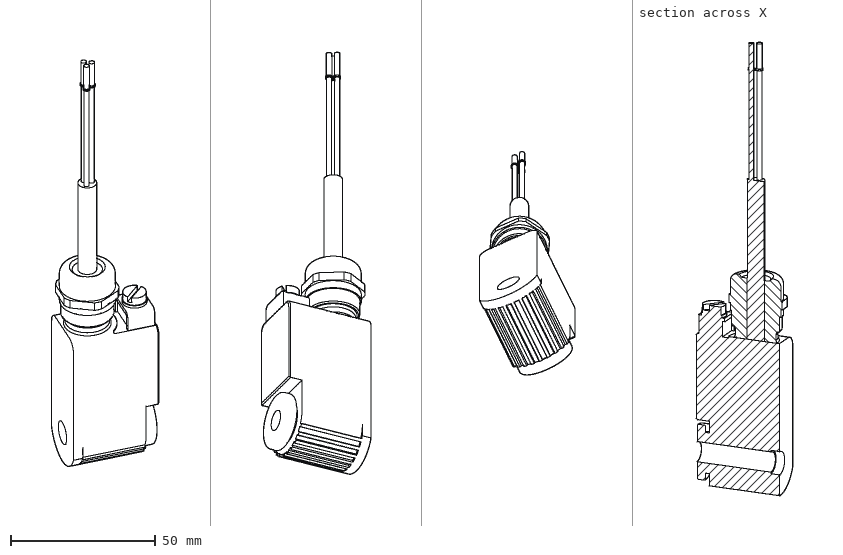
import cadquery as cq
import math


WIDTH = 22.0
DEPTH = 31.7
PAD_TOP = 55.5
SHELF_DROP = 0.5
SHELF_FRONT = 15.9
TOP_FILLET = 4.0
BACK_CHAMFER = 0.5
NOTCH_CEILING = 23.5
NOTCH_DEPTH = 4.9
LUG_RADIUS = 12.0

BORE_DIAMETER = 7.2
COUNTERBORE_DIAMETER = 8.3
COUNTERBORE_DEPTH = 3.3

RIB_RIM = 3.5
RIB_ROOT_RADIUS = WIDTH / 2
RIB_PITCH = 15.0
RIB_ANGLE = 6.0
RIBS_EACH_SIDE = 4

DISC_DIAMETER = 20.3
DISC_GAP = 1.3
DISC_THICKNESS = 3.3
DISC_FILLET = 0.7
DISC_NECK_DIAMETER = 15.0

BLOCK_X = 2.0
BLOCK_Y = 25.8
BLOCK_WIDTH = 13.7
BLOCK_DEPTH = 10.0
BLOCK_TOP = 62.0
BLOCK_FILLET = 2.0
RECESS_INSET = 1.3
RECESS_DEPTH = 0.8
WASHER_DIAMETER = 8.8
WASHER_HEIGHT = 1.0
SCREW_DIAMETER = 8.2
SCREW_HEIGHT = 3.0
SLOT_WIDTH = 1.5
SLOT_DEPTH = 2.0
SLOT_ANGLE = -45.0

GLAND_Y = 9.2
GLAND_TOP = 78.8
PAD_DIAMETER = 20.6
CAP_DIAMETER = 19.5
CAP_BOTTOM = 65.0
CAP_FILLET = 2.8
SKIRT_DIAMETER = 18.5
SKIRT_BOTTOM = 59.5
SKIRT_CHAMFER = 0.5
NECK_DIAMETER = 15.5
NECK_FLARE = 0.5
NECK_GROOVE_TOP = 58.5
NECK_GROOVE_BOTTOM = 56.5
FUNNEL_TOP_DIAMETER = 12.5
FUNNEL_DIAMETER = 10.5
FUNNEL_DEPTH = 1.0
HEX_BOTTOM = 67.8
HEX_HEIGHT = 3.1
HEX_FLATS = 20.3
HEX_ROUND_DIAMETER = 22.0

CABLE_DIAMETER = 6.5
SHEATH_TOP = 113.8
WIRE_TOP = 163.5
WIRE_DIAMETER = 1.8
WIRE_COUNT = 3
WIRE_CIRCLE_RADIUS = 1.6
COLLAR_DIAMETER = 2.5
COLLAR_BOTTOM = 153.6
COLLAR_HEIGHT = 0.7
FERRULE_DIAMETER = 2.0

SHELF_TOP = PAD_TOP - SHELF_DROP
NOTCH_Y = DEPTH - NOTCH_DEPTH


def cylinder_z(x, y, bottom, diameter, height):
    """Upright cylinder standing on the level `bottom`."""
    return cq.Workplane("XY", origin=(x, y, bottom)).circle(diameter / 2).extrude(height)


def cylinder_y(start, diameter, length):
    """Cylinder around the cross bore axis, from `start` towards +Y."""
    plane = cq.Plane(origin=(0, start, LUG_RADIUS), xDir=(1, 0, 0), normal=(0, 1, 0))
    return cq.Workplane(plane).circle(diameter / 2).extrude(length)


def box_between(x, y, z):
    """Box from three (low, high) pairs."""
    size = [high - low for low, high in (x, y, z)]
    return cq.Workplane("XY").box(*size, centered=False).translate((x[0], y[0], z[0]))


def arch_slab(radius, start, end):
    """Slab of the housing outline, whose lower end is round with the given radius."""
    half = WIDTH / 2
    side_end = LUG_RADIUS - math.sqrt(radius**2 - half**2)
    lowest = LUG_RADIUS - radius
    return (
        cq.Workplane("XZ", origin=(0, start, 0))
        .moveTo(-half, PAD_TOP)
        .lineTo(-half, side_end)
        .threePointArc((0, lowest), (half, side_end))
        .lineTo(half, PAD_TOP)
        .close()
        .extrude(start - end)
    )


def rib(angle):
    """One radial rib, `angle` degrees away from straight down."""
    reach = 2 * LUG_RADIUS
    half_width = reach * math.tan(math.radians(RIB_ANGLE / 2))
    wedge = (
        cq.Workplane("XZ", origin=(0, RIB_RIM, LUG_RADIUS))
        .polyline([(0, 0), (-half_width, -reach), (half_width, -reach)])
        .close()
        .extrude(RIB_RIM - NOTCH_Y)
        .rotate((0, 0, LUG_RADIUS), (0, 1, LUG_RADIUS), angle)
    )
    return wedge.intersect(arch_slab(LUG_RADIUS, RIB_RIM, NOTCH_Y))


def make_shell():
    """Housing block: rounded top, notch at the back and ribs around the lower end."""
    upper = box_between((-WIDTH / 2, WIDTH / 2), (0, DEPTH - BACK_CHAMFER), (NOTCH_CEILING, PAD_TOP))
    upper = upper.edges("|Y and >Z").fillet(TOP_FILLET)

    beyond_pad = box_between((-WIDTH, WIDTH), (SHELF_FRONT, 2 * DEPTH), (SHELF_TOP, 2 * PAD_TOP))
    pad = cylinder_z(0, GLAND_Y, SHELF_TOP, PAD_DIAMETER, SHELF_DROP)
    upper = upper.cut(beyond_pad.cut(pad))

    back_face = upper.faces(">Y")
    upper = back_face.workplane().add(back_face.wires()).toPending().extrude(BACK_CHAMFER, taper=45)

    below_notch = box_between((-WIDTH, WIDTH), (0, DEPTH), (-PAD_TOP, NOTCH_CEILING))
    lower = arch_slab(LUG_RADIUS, 0, RIB_RIM).union(arch_slab(RIB_ROOT_RADIUS, RIB_RIM, NOTCH_Y))
    for step in range(-RIBS_EACH_SIDE, RIBS_EACH_SIDE + 1):
        lower = lower.union(rib(step * RIB_PITCH))
    return upper.union(lower.intersect(below_notch))


def make_disc():
    """Flange disc on a short neck, standing on the notch wall."""
    neck = cylinder_y(NOTCH_Y, DISC_NECK_DIAMETER, DISC_GAP)
    disc = cylinder_y(NOTCH_Y + DISC_GAP, DISC_DIAMETER, DISC_THICKNESS)
    return disc.edges().fillet(DISC_FILLET).union(neck)


def make_terminal():
    """Rounded block carrying a washer and a slotted screw head."""
    block = box_between(
        (BLOCK_X - BLOCK_WIDTH / 2, BLOCK_X + BLOCK_WIDTH / 2),
        (BLOCK_Y - BLOCK_DEPTH / 2, BLOCK_Y + BLOCK_DEPTH / 2),
        (SHELF_TOP, BLOCK_TOP),
    )
    block = block.edges("|Y and >Z").fillet(BLOCK_FILLET)

    block_front = BLOCK_Y - BLOCK_DEPTH / 2
    recess = box_between(
        (BLOCK_X - BLOCK_WIDTH / 2 + RECESS_INSET, BLOCK_X + BLOCK_WIDTH / 2 - RECESS_INSET),
        (block_front, block_front + RECESS_DEPTH),
        (SHELF_TOP, BLOCK_TOP - RECESS_INSET),
    )
    block = block.cut(recess.edges("|Y and >Z").fillet(BLOCK_FILLET - RECESS_INSET))

    washer = cylinder_z(BLOCK_X, BLOCK_Y, BLOCK_TOP, WASHER_DIAMETER, WASHER_HEIGHT)
    head_bottom = BLOCK_TOP + WASHER_HEIGHT
    head = cylinder_z(BLOCK_X, BLOCK_Y, head_bottom, SCREW_DIAMETER, SCREW_HEIGHT)
    slot = (
        cq.Workplane("XY", origin=(BLOCK_X, BLOCK_Y, head_bottom + SCREW_HEIGHT))
        .transformed(rotate=(0, 0, SLOT_ANGLE))
        .rect(2 * SCREW_DIAMETER, SLOT_WIDTH)
        .extrude(-SLOT_DEPTH)
    )
    return block.union(washer).union(head.cut(slot))


def make_housing():
    """Housing with its terminal, flange disc and stepped cross bore."""
    housing = make_shell().union(make_terminal()).union(make_disc())
    bore = cylinder_y(0, BORE_DIAMETER, DEPTH)
    counterbore = cylinder_y(0, COUNTERBORE_DIAMETER, COUNTERBORE_DEPTH)
    return housing.cut(bore).cut(counterbore)


def make_gland():
    """Turned gland with a hexagonal collar and a funnel around the cable."""
    neck = NECK_DIAMETER / 2
    flare = neck + NECK_FLARE
    skirt = SKIRT_DIAMETER / 2
    cap = CAP_DIAMETER / 2
    fillet_middle = CAP_FILLET * (1 - math.sqrt(0.5))
    body = (
        cq.Workplane("XZ")
        .moveTo(CABLE_DIAMETER / 2, PAD_TOP)
        .lineTo(flare, PAD_TOP)
        .lineTo(neck, NECK_GROOVE_BOTTOM)
        .lineTo(neck, NECK_GROOVE_TOP)
        .lineTo(flare, SKIRT_BOTTOM)
        .lineTo(skirt - SKIRT_CHAMFER, SKIRT_BOTTOM)
        .lineTo(skirt, SKIRT_BOTTOM + SKIRT_CHAMFER)
        .lineTo(skirt, CAP_BOTTOM)
        .lineTo(cap, CAP_BOTTOM)
        .lineTo(cap, GLAND_TOP - CAP_FILLET)
        .threePointArc((cap - fillet_middle, GLAND_TOP - fillet_middle), (cap - CAP_FILLET, GLAND_TOP))
        .lineTo(FUNNEL_TOP_DIAMETER / 2, GLAND_TOP)
        .lineTo(FUNNEL_DIAMETER / 2, GLAND_TOP - FUNNEL_DEPTH)
        .lineTo(CABLE_DIAMETER / 2, GLAND_TOP - FUNNEL_DEPTH)
        .close()
        .revolve(360, (0, 0, 0), (0, 1, 0))
        .translate((0, GLAND_Y, 0))
    )
    hexagon = (
        cq.Workplane("XY", origin=(0, GLAND_Y, HEX_BOTTOM))
        .transformed(rotate=(0, 0, 30))
        .polygon(6, HEX_FLATS, circumscribed=True)
        .extrude(HEX_HEIGHT)
        .intersect(cylinder_z(0, GLAND_Y, HEX_BOTTOM, HEX_ROUND_DIAMETER, HEX_HEIGHT))
        .cut(cylinder_z(0, GLAND_Y, HEX_BOTTOM, SKIRT_DIAMETER, HEX_HEIGHT))
    )
    return body.union(hexagon)


def make_cable():
    """Sheath with three wires, each with a collar and a ferrule at its end."""
    cable = cylinder_z(0, GLAND_Y, PAD_TOP, CABLE_DIAMETER, SHEATH_TOP - PAD_TOP)
    collar_top = COLLAR_BOTTOM + COLLAR_HEIGHT
    for index in range(WIRE_COUNT):
        angle = math.radians(90 + index * 360 / WIRE_COUNT)
        x = WIRE_CIRCLE_RADIUS * math.cos(angle)
        y = GLAND_Y + WIRE_CIRCLE_RADIUS * math.sin(angle)
        wire = cylinder_z(x, y, SHEATH_TOP, WIRE_DIAMETER, COLLAR_BOTTOM - SHEATH_TOP)
        collar = cylinder_z(x, y, COLLAR_BOTTOM, COLLAR_DIAMETER, COLLAR_HEIGHT)
        ferrule = cylinder_z(x, y, collar_top, FERRULE_DIAMETER, WIRE_TOP - collar_top)
        cable = cable.union(wire).union(collar).union(ferrule)
    return cable


housing = make_housing()
gland = make_gland()
cable = make_cable()

result = cq.Compound.makeCompound([housing.val(), gland.val(), cable.val()])